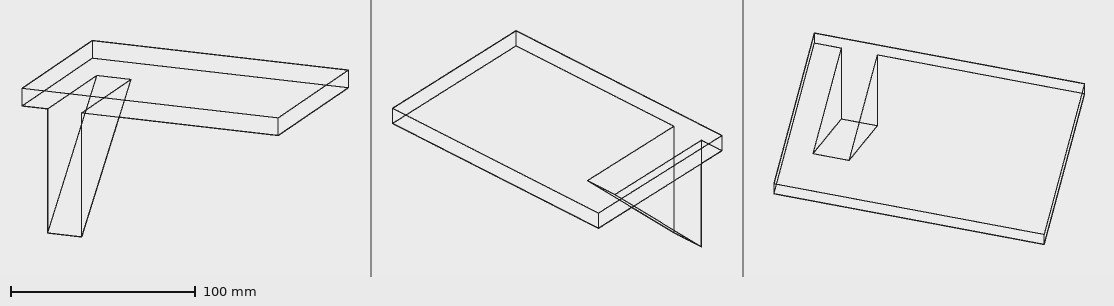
import cadquery as cq

plate_length = 150.0
plate_width = plate_length * 2 / 3
plate_thickness = plate_length / 15

bracket_leg = 7 * plate_thickness
bracket_thickness = 2 * plate_thickness
bracket_offset = 15.0


def make_plate():
    """Flat plate with its underside at Z = 0 and a corner at the origin."""
    return cq.Workplane("XY").box(plate_length, plate_width, plate_thickness, centered=False)


def make_bracket():
    """Right triangle hanging from the plate, tapering towards the back."""
    return (
        cq.Workplane("YZ", origin=(bracket_offset, 0, 0))
        .moveTo(0, 0)
        .lineTo(bracket_leg, 0)
        .lineTo(0, -bracket_leg)
        .close()
        .extrude(bracket_thickness)
    )


result = make_plate().union(make_bracket())